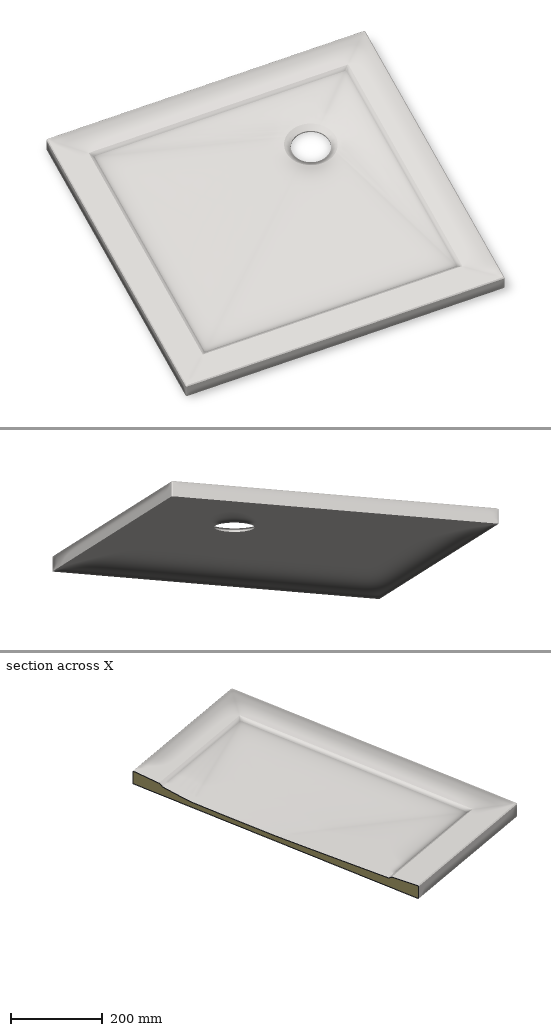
import cadquery as cq
import math

SIDE = 760.0
HEIGHT = 35.0
EDGE_CHAMFER = 2.0
RIM_WIDTH = 71.0
RIM_DROP = 4.5
LIP_WIDTH = 9.0
FLOOR_DROP = 11.0
OUTER_CORNER_RADIUS = 3.0
LIP_CORNER_RADIUS = 1.0
FLOOR_CORNER_RADIUS = 3.0

DRAIN_X = -150.5
DRAIN_Y = 150.5
DRAIN_RADIUS = 58.5
DRAIN_DROP = 23.5
HOLE_RADIUS = 44.0
HOLE_DROP = 31.0
DRAIN_CORNER_ANGLE = 2.0

SIDE_SPLIT = 0.8
SIDE_DIVISIONS = ([0, 1 - SIDE_SPLIT, 1], [0, 1], [0, SIDE_SPLIT, 1], [0, 1])


def square_edges(half_side, corner_radius, z):
    """Edges of a rounded square, counter-clockwise from the front end of the right side."""
    half_flat = half_side - corner_radius
    edges = []
    for quarter, divisions in enumerate(SIDE_DIVISIONS):
        turn = math.pi / 2 * quarter

        def place(x, y):
            turned_x = x * math.cos(turn) - y * math.sin(turn)
            turned_y = x * math.sin(turn) + y * math.cos(turn)
            return cq.Vector(turned_x, turned_y, z)

        points = [place(half_side, half_flat * (2 * share - 1)) for share in divisions]
        edges += [cq.Edge.makeLine(a, b) for a, b in zip(points, points[1:])]
        diagonal = half_flat + corner_radius * math.sqrt(0.5)
        corner_middle = place(diagonal, diagonal)
        edges.append(cq.Edge.makeThreePointArc(points[-1], corner_middle, place(half_flat, half_side)))
    return edges


def drain_edges(z):
    """Arcs of the drain rim, each matching one edge of the floor outline."""
    def point(degrees):
        angle = math.radians(degrees)
        x = DRAIN_X + DRAIN_RADIUS * math.cos(angle)
        y = DRAIN_Y + DRAIN_RADIUS * math.sin(angle)
        return cq.Vector(x, y, z)

    side_angle = 90 - DRAIN_CORNER_ANGLE
    angles = []
    for quarter, divisions in enumerate(SIDE_DIVISIONS):
        start = 90 * quarter - side_angle / 2
        angles += [start + side_angle * share for share in divisions]
    angles.append(angles[0] + 360)
    return [
        cq.Edge.makeThreePointArc(point(a), point((a + b) / 2), point(b))
        for a, b in zip(angles, angles[1:])
    ]


def tray_body():
    """Solid skinned with ruled faces from the base, over the rim and lip, down to the drain."""
    half = SIDE / 2
    rim_inner = half - RIM_WIDTH
    outlines = [
        square_edges(half, OUTER_CORNER_RADIUS, 0),
        square_edges(half, OUTER_CORNER_RADIUS, HEIGHT - EDGE_CHAMFER),
        square_edges(half - EDGE_CHAMFER, OUTER_CORNER_RADIUS, HEIGHT),
        square_edges(rim_inner, LIP_CORNER_RADIUS, HEIGHT - RIM_DROP),
        square_edges(rim_inner - LIP_WIDTH, FLOOR_CORNER_RADIUS, HEIGHT - FLOOR_DROP),
        drain_edges(HEIGHT - DRAIN_DROP),
    ]
    faces = [cq.Face.makeFromWires(cq.Wire.assembleEdges(outlines[i])) for i in (0, -1)]
    for lower, upper in zip(outlines, outlines[1:]):
        faces += [cq.Face.makeRuledSurface(a, b) for a, b in zip(lower, upper)]
    shell = cq.Shell.makeShell(faces)
    return cq.Workplane(cq.Solid.makeSolid(shell)).clean()


def drain_cutter():
    """Conical drain seat above a straight through hole."""
    profile = [
        (0, 0),
        (HOLE_RADIUS, 0),
        (HOLE_RADIUS, HEIGHT - HOLE_DROP),
        (DRAIN_RADIUS, HEIGHT - DRAIN_DROP),
        (0, HEIGHT - DRAIN_DROP),
    ]
    cutter = cq.Workplane("XZ").polyline(profile).close().revolve(360, (0, 0), (0, 1))
    return cutter.translate((DRAIN_X, DRAIN_Y, 0))


result = tray_body().cut(drain_cutter()).solids()